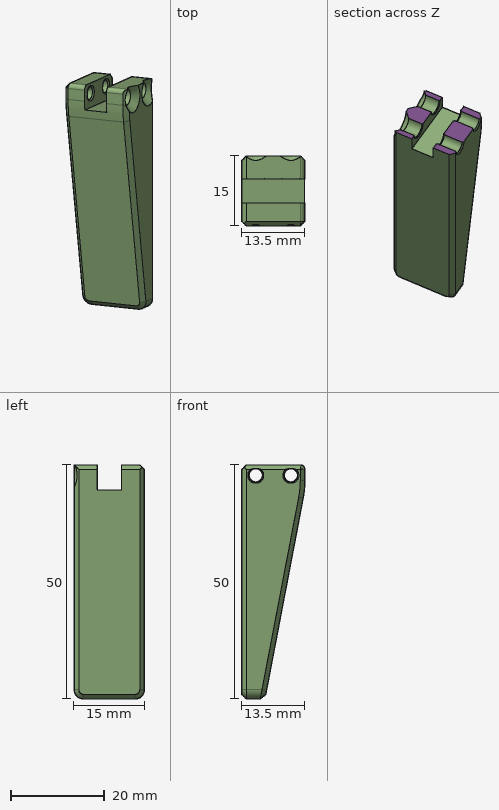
import cadquery as cq
import math

width = 13.5
depth = 15.0
height = 50.0
back = depth / 2

slope_angle = math.radians(10.8)
blend_radius = 20.0
blend_top = 46.6

edge_chamfer = 1.0
top_round = 1.0
bottom_round = 2.0

slot_width = 5.15
slot_depth = 5.35

hole_xs = (3.0, 10.5)
hole_z = height - 2.25
front_hole_diameter = 2.8
back_hole_diameter = 3.5
front_hole_lip = 0.3
back_hole_lip = 0.2
countersink_diameter = 6.5


def make_wedge(rounded_top):
    """Side profile in XZ, extruded along Y, with a rounded or sharp top corner at +X."""
    centre_x = width - blend_radius
    middle = (
        centre_x + blend_radius * math.cos(slope_angle / 2),
        blend_top - blend_radius * math.sin(slope_angle / 2),
    )
    blend_end_x = centre_x + blend_radius * math.cos(slope_angle)
    blend_end_z = blend_top - blend_radius * math.sin(slope_angle)
    foot_x = blend_end_x - blend_end_z * math.tan(slope_angle)
    profile = (
        cq.Workplane("XZ", origin=(0, back, 0))
        .lineTo(foot_x, 0)
        .lineTo(blend_end_x, blend_end_z)
        .threePointArc(middle, (width, blend_top))
    )
    if rounded_top:
        profile = profile.lineTo(width, height - top_round)
        profile = profile.radiusArc((width - top_round, height), -top_round)
    else:
        profile = profile.lineTo(width, height)
    return profile.lineTo(0, height).close().extrude(depth)


def finish_edges(body, side_edges):
    """Round the bottom edges along X, then chamfer the -X outline below the top and the side edges.

    The side chamfers carry on around the rounded foot of the slope by tangency.
    """
    body = body.edges("|X and <Z").fillet(bottom_round)
    left_outline = body.faces("<X").edges("not >Z").vals()
    side_outlines = body.faces("<Y or >Y").edges(side_edges).vals()
    return body.newObject(left_outline + side_outlines).chamfer(edge_chamfer)


def make_body():
    """Join a front half with a chamfered top edge to a back half with a plain one."""
    rounded_wedge = make_wedge(rounded_top=True)
    front_body = finish_edges(rounded_wedge, "not(<X or <Z)")
    back_body = finish_edges(make_wedge(rounded_top=False), "not(<X or <Z or >Z)")
    back_body = back_body.intersect(rounded_wedge)
    front_space = cq.Workplane("XY").box(width, back, height, centered=False).translate((0, -back, 0))
    body = front_body.intersect(front_space).union(back_body.cut(front_space)).clean()
    return body.faces("<X").edges(">Z").chamfer(edge_chamfer)


def cone(x, y, wide_radius, narrow_radius, direction):
    """45 degree cone along Y, starting at y with its wide end."""
    return cq.Workplane(cq.Solid.makeCone(
        wide_radius, narrow_radius, wide_radius - narrow_radius,
        pnt=cq.Vector(x, y, hole_z), dir=cq.Vector(0, direction, 0),
    ))


def cut_screw_hole(body, x):
    """Stepped through hole with lips at the front and slot walls and a countersink at the back."""
    front_radius = front_hole_diameter / 2
    back_radius = back_hole_diameter / 2
    front_lip_radius = front_radius + front_hole_lip
    back_lip_radius = back_radius + back_hole_lip
    front_bore = cq.Workplane("XZ", origin=(x, 0, hole_z)).circle(front_radius).extrude(back)
    back_bore = cq.Workplane("XZ", origin=(x, back, hole_z)).circle(back_radius).extrude(back)
    body = body.cut(front_bore).cut(back_bore)
    body = body.cut(cone(x, -back, front_lip_radius, front_radius, 1))
    body = body.cut(cone(x, -slot_width / 2, front_lip_radius, front_radius, -1))
    body = body.cut(cone(x, slot_width / 2, back_lip_radius, back_radius, 1))
    return body.cut(cone(x, back, countersink_diameter / 2, back_radius, -1))


result = make_body()

slot = cq.Workplane("XY").box(width, slot_width, slot_depth, centered=(False, True, False))
result = result.cut(slot.translate((0, 0, height - slot_depth)))

for hole_x in hole_xs:
    result = cut_screw_hole(result, hole_x)